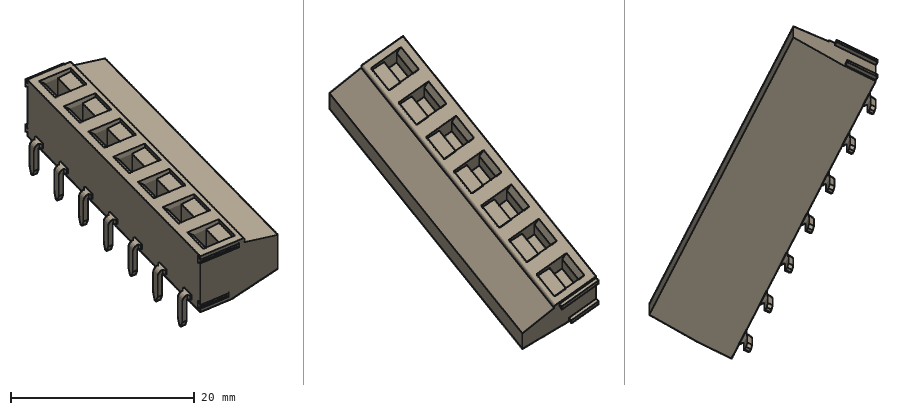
import cadquery as cq


total_length = 35.5
pole_count = 7
pitch = 5.0
body_length = pole_count * pitch
rail_depth = total_length - body_length

body_depth = 10.08
body_height = 8.1
step_y = 5.75
step_height = 0.65
step_radius = 0.3
roof_drop_at_back = 1.6
back_bottom_z = 1.6
underside_flat_depth = 4.1

rail_outer_height = 1.0
rail_root_height = 0.55
upper_rail_z = body_height - 0.78
upper_rail_length = 5.05
lower_rail_z = 0.78
lower_rail_length = 3.73

pocket_width = 3.23
pocket_front_y = 0.95
pocket_back_y = 5.05
pocket_depth = 3.55
lip_depth = 0.6
lip_run = 0.67
lip_side_draft = 0.1
ledge_front_y = 3.35
ledge_back_depth = 0.45

pin_thickness = 0.6
pin_width = 0.92
pin_reach = 1.03
pin_drop = 3.3
pin_top_z = 1.2
bend_radius = 0.75
tip_length = 0.85
tip_width = 0.32
collar_width = 1.53
collar_reach = 0.18
neck_reach = 0.35


def make_housing():
    """Side profile, extruded along the row."""
    step_base_z = body_height - step_height
    profile = (
        cq.Workplane("YZ")
        .moveTo(0, 0)
        .lineTo(0, body_height)
        .lineTo(step_y - step_radius, body_height)
        .radiusArc((step_y, body_height - step_radius), step_radius)
        .lineTo(step_y, step_base_z)
        .lineTo(body_depth, body_height - roof_drop_at_back)
        .lineTo(body_depth, back_bottom_z)
        .lineTo(underside_flat_depth, 0)
        .close()
    )
    return profile.extrude(body_length)


def make_dovetail(face_x, center_z, length):
    """Dovetail bar that widens toward -X from the plane X = face_x."""
    root = rail_root_height / 2
    outer = rail_outer_height / 2
    outer_x = face_x - rail_depth
    return (
        cq.Workplane("XZ")
        .polyline(
            [
                (face_x, center_z - root),
                (face_x, center_z + root),
                (outer_x, center_z + outer),
                (outer_x, center_z - outer),
            ]
        )
        .close()
        .extrude(-length)
    )


def make_pocket(center_x):
    """Stepped pocket with a chamfered front lip, a sloping rear ledge and drafted sides."""
    lip_z = body_height - lip_depth
    floor_z = body_height - pocket_depth
    mouth_half = pocket_width / 2
    well_half = mouth_half - lip_side_draft
    lengthwise = (
        cq.Workplane("YZ", origin=(center_x - mouth_half, 0, 0))
        .polyline(
            [
                (pocket_front_y, body_height),
                (pocket_front_y + lip_run, lip_z),
                (pocket_front_y + lip_run, floor_z),
                (ledge_front_y, floor_z),
                (ledge_front_y, lip_z),
                (pocket_back_y, body_height - ledge_back_depth),
                (pocket_back_y, body_height),
            ]
        )
        .close()
        .extrude(pocket_width)
    )
    crosswise = (
        cq.Workplane("XZ")
        .polyline(
            [
                (center_x - mouth_half, body_height),
                (center_x - well_half, lip_z),
                (center_x - well_half, floor_z),
                (center_x + well_half, floor_z),
                (center_x + well_half, lip_z),
                (center_x + mouth_half, body_height),
            ]
        )
        .close()
        .extrude(-body_depth)
    )
    return lengthwise.intersect(crosswise)


def make_pin(center_x):
    """Pin that leaves the front face through a collar, bends down and ends in a tapered tip."""
    inner_radius = bend_radius - pin_thickness
    bend_y = bend_radius - pin_reach
    bend_z = pin_top_z - bend_radius
    leg_inner_y = pin_thickness - pin_reach
    side = (
        cq.Workplane("YZ", origin=(center_x - collar_width / 2, 0, 0))
        .moveTo(0, pin_top_z)
        .lineTo(bend_y, pin_top_z)
        .radiusArc((-pin_reach, bend_z), -bend_radius)
        .lineTo(-pin_reach, -pin_drop)
        .lineTo(leg_inner_y, -pin_drop)
        .lineTo(leg_inner_y, bend_z)
        .radiusArc((bend_y, pin_top_z - pin_thickness), inner_radius)
        .lineTo(0, pin_top_z - pin_thickness)
        .close()
        .extrude(collar_width)
    )
    plan = (
        cq.Workplane("XY", origin=(center_x, 0, -pin_drop))
        .polyline(
            [
                (-collar_width / 2, 0),
                (-collar_width / 2, -collar_reach),
                (-pin_width / 2, -neck_reach),
                (-pin_width / 2, -pin_reach),
                (pin_width / 2, -pin_reach),
                (pin_width / 2, -neck_reach),
                (collar_width / 2, -collar_reach),
                (collar_width / 2, 0),
            ]
        )
        .close()
        .extrude(pin_drop + pin_top_z)
    )
    front = (
        cq.Workplane("XZ", origin=(center_x, 0, 0))
        .polyline(
            [
                (-tip_width / 2, -pin_drop),
                (-pin_width / 2, tip_length - pin_drop),
                (-pin_width / 2, 0),
                (-collar_width / 2, 0),
                (-collar_width / 2, pin_top_z),
                (collar_width / 2, pin_top_z),
                (collar_width / 2, 0),
                (pin_width / 2, 0),
                (pin_width / 2, tip_length - pin_drop),
                (tip_width / 2, -pin_drop),
            ]
        )
        .close()
        .extrude(pin_reach)
    )
    return side.intersect(plan).intersect(front)


result = make_housing()

for rail_z, rail_length in ((upper_rail_z, upper_rail_length), (lower_rail_z, lower_rail_length)):
    result = result.union(make_dovetail(0, rail_z, rail_length))
    result = result.cut(make_dovetail(body_length, rail_z, rail_length))

for pole in range(pole_count):
    pole_x = (pole + 0.5) * pitch
    result = result.cut(make_pocket(pole_x))
    result = result.union(make_pin(pole_x))